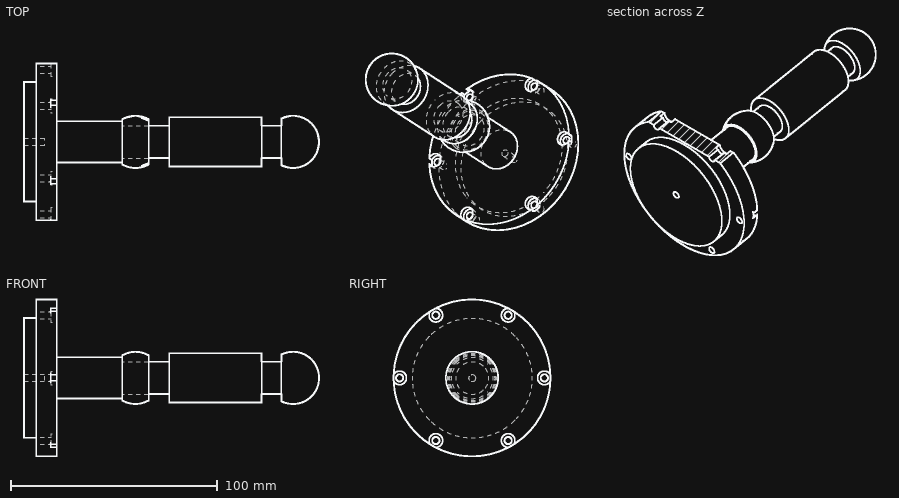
import cadquery as cq


pilot_diameter = 58.0
pilot_length = 6.0
flange_diameter = 76.0
flange_thickness = 10.0
flange_back = pilot_length + flange_thickness

bolt_count = 6
bolt_circle_diameter = 70.0
bolt_hole_diameter = 3.4
counterbore_diameter = 6.6
counterbore_depth = 3.0

center_hole_diameter = 3.4
center_hole_depth = 10.0

ball_diameter = 25.4
ball_radius = ball_diameter / 2
ball_spacing = 76.2
inner_ball_center = 54.0
outer_ball_center = inner_ball_center + ball_spacing
inner_flat_offset = 6.5
outer_flat_offset = 5.6

stem_diameter = 20.0
stem_end = inner_ball_center - inner_flat_offset
neck_diameter = 15.8
neck_end = outer_ball_center - outer_flat_offset
grip_diameter = 24.0
grip_start = 70.3
grip_length = 44.8


def cylinder(diameter, start, end):
    """Solid cylinder on the X axis between two X positions."""
    return cq.Workplane("YZ", origin=(start, 0, 0)).circle(diameter / 2).extrude(end - start)


def bolt_pattern(diameter, start, end):
    """Ring of cylinders on the bolt circle, the first one on the +Y axis."""
    return (
        cq.Workplane("YZ", origin=(start, 0, 0))
        .polarArray(bolt_circle_diameter / 2, 0, 360, bolt_count)
        .circle(diameter / 2)
        .extrude(end - start)
    )


def make_flanged_shaft():
    """Pilot, flange, stem, neck and grip in one piece."""
    shaft = (
        cylinder(pilot_diameter, 0, pilot_length)
        .union(cylinder(flange_diameter, pilot_length, flange_back))
        .union(cylinder(stem_diameter, flange_back, stem_end))
        .union(cylinder(neck_diameter, stem_end, neck_end))
        .union(cylinder(grip_diameter, grip_start, grip_start + grip_length))
    )
    bolt_holes = bolt_pattern(bolt_hole_diameter, pilot_length, flange_back)
    counterbores = bolt_pattern(counterbore_diameter, flange_back - counterbore_depth, flange_back)
    center_hole = cylinder(center_hole_diameter, 0, center_hole_depth)
    return shaft.cut(bolt_holes).cut(counterbores).cut(center_hole)


def make_ball(center, start, end):
    """Ball on the X axis, kept only between two X positions."""
    sphere = cq.Workplane("XY", origin=(center, 0, 0)).sphere(ball_radius)
    return sphere.intersect(cylinder(2 * ball_diameter, start, end))


def make_inner_ball():
    """Ball with two flats, bored to sit on the neck against the stem shoulder."""
    flat_end = inner_ball_center + inner_flat_offset
    ball = make_ball(inner_ball_center, stem_end, flat_end)
    return ball.cut(cylinder(neck_diameter, stem_end, flat_end))


def make_outer_ball():
    """Ball with one flat, seated on the end of the neck."""
    return make_ball(outer_ball_center, neck_end, outer_ball_center + ball_diameter)


flanged_shaft = make_flanged_shaft()
inner_ball = make_inner_ball()
outer_ball = make_outer_ball()

result = cq.Compound.makeCompound([flanged_shaft.val(), inner_ball.val(), outer_ball.val()])